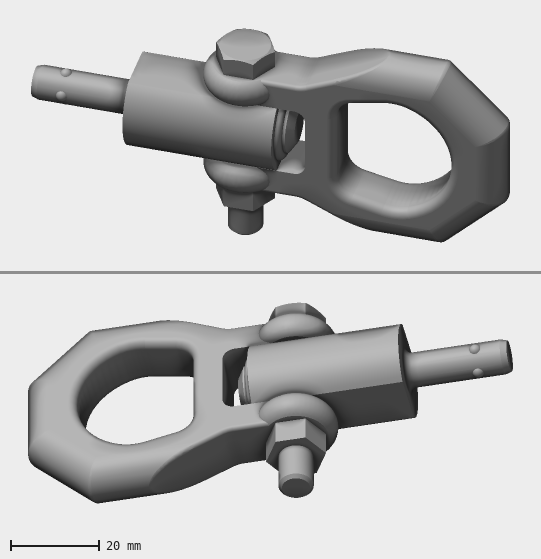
import cadquery as cq
import math


SHANK_R = 4.0
SHANK_TIP_X = -49.4
TIP_CHAMFER = (1.5, 0.5)
HOUSING_START_X = -25.9
HOUSING_END_X = 9.0
HOUSING_R = 21.5 / 2
HALF_GAP = 8.9
COLLAR_FILLET = 1.5
BALL_R = 1.5
BALL_X = -42.2
BALL_CENTER_R = 3.3
BALL_COUNT = 4
BUTTON_R = 8.5
BUTTON_ROUND = 1.3
NECK_R = 6.5
NECK_LENGTH = 0.7
BUTTON_TIP_R = 4.0
BUTTON_CONE_LENGTH = 1.6

OVERALL_HEIGHT = 55.7
BOLT_R = SHANK_R
BOLT_CHAMFER = 0.8
HEX_FLATS = 12.0
HEAD_HEIGHT = 4.9
HEAD_TOP_R = 5.8
HEAD_CHAMFER_ANGLE = 30
NUT_HEIGHT = 5.9
EYE_HEIGHT = 6.9
EYE_FACE_R = 7.5
EYE_BULGE_R = 9.6

THICKNESS = 12.3
HALF_THICKNESS = THICKNESS / 2
RING_HALF_HEIGHT = 49.1 / 2
RING_END_X = 61.9
RING_SIDE_ANGLES = (-90, -45, 0, 45, 90)
CORNER_ROUND = 1.1
SHOULDER_X = 14.6
SHOULDER_ANGLE = math.radians(24.5)
SHOULDER_BEND_R = 5.8
ARM_EDGE_FILLET = 1.0
FORK_SLOT_END_X = 15.7
FORK_SLOT_CORNER_R = 2.7

BOLT_END_Z = RING_HALF_HEIGHT - OVERALL_HEIGHT

OPENING_WALL_X = 22.8
OPENING_CENTER_X = 34.5
OPENING_R = 15.1
BLEND_R = 10.5
BLEND_ANGLE = math.radians(71)
FLANK_ANGLE = math.radians(11.6)
OPENING_CORNER_R = 4.8
OPENING_EDGE_FILLET = 2.0

SELECTION_MARGIN = 1.1
ARM_TOP_Z = HALF_GAP + EYE_HEIGHT


def along_x(profile):
    """Revolve an (x, r) profile, drawn on XY, about the X axis."""
    return profile.close().revolve(360, (0, 0, 0), (1, 0, 0))


def pin_shank():
    length, depth = TIP_CHAMFER
    collar_r = SHANK_R + COLLAR_FILLET
    diagonal = COLLAR_FILLET * math.sqrt(0.5)
    profile = (
        cq.Workplane("XY")
        .moveTo(SHANK_TIP_X, 0)
        .lineTo(SHANK_TIP_X, SHANK_R - depth)
        .lineTo(SHANK_TIP_X + length, SHANK_R)
        .lineTo(HOUSING_START_X - COLLAR_FILLET, SHANK_R)
        .threePointArc(
            (HOUSING_START_X - COLLAR_FILLET + diagonal, collar_r - diagonal),
            (HOUSING_START_X, collar_r),
        )
        .lineTo(HOUSING_START_X, 0)
    )
    return along_x(profile)


def pin_housing():
    length = HOUSING_END_X - HOUSING_START_X
    start = cq.Workplane("YZ", origin=(HOUSING_START_X, 0, 0))
    barrel = start.circle(HOUSING_R).extrude(length)
    flats = start.rect(2 * HOUSING_R, 2 * HALF_GAP).extrude(length)
    return barrel.intersect(flats)


def pin_button():
    diagonal = BUTTON_ROUND * math.sqrt(0.5)
    round_end_x = HOUSING_END_X + BUTTON_ROUND
    neck_end_x = round_end_x + NECK_LENGTH
    profile = (
        cq.Workplane("XY")
        .moveTo(HOUSING_END_X, 0)
        .lineTo(HOUSING_END_X, BUTTON_R)
        .threePointArc(
            (HOUSING_END_X + diagonal, BUTTON_R - BUTTON_ROUND + diagonal),
            (round_end_x, BUTTON_R - BUTTON_ROUND),
        )
        .lineTo(round_end_x, NECK_R)
        .lineTo(neck_end_x, NECK_R)
        .lineTo(neck_end_x + BUTTON_CONE_LENGTH, BUTTON_TIP_R)
        .lineTo(neck_end_x + BUTTON_CONE_LENGTH, 0)
    )
    return along_x(profile)


def locking_balls():
    balls = cq.Workplane("XY")
    for i in range(BALL_COUNT):
        angle = 2 * math.pi * i / BALL_COUNT
        center = (BALL_X, BALL_CENTER_R * math.cos(angle), BALL_CENTER_R * math.sin(angle))
        balls = balls.union(cq.Workplane("XY", origin=center).sphere(BALL_R))
    return balls


def make_locking_pin():
    bolt_hole = cq.Workplane("XY").circle(BOLT_R).extrude(HOUSING_R, both=True)
    pin = pin_housing().union(pin_shank()).union(pin_button()).union(locking_balls())
    return pin.cut(bolt_hole)


def rounded_half_plate(angle):
    """A plate ending in a full-round edge, facing `angle` degrees from +X about the ring center."""
    center_x = RING_END_X - RING_HALF_HEIGHT
    reach = 2 * RING_END_X
    edge_x = RING_HALF_HEIGHT - HALF_THICKNESS
    return (
        cq.Workplane("XY", origin=(0, 0, -reach))
        .moveTo(-reach, -HALF_THICKNESS)
        .lineTo(edge_x, -HALF_THICKNESS)
        .threePointArc((RING_HALF_HEIGHT, 0), (edge_x, HALF_THICKNESS))
        .lineTo(-reach, HALF_THICKNESS)
        .close()
        .extrude(2 * reach)
        .rotate((0, 0, 0), (0, 1, 0), -angle)
        .translate((center_x, 0, 0))
    )


def shackle_outline():
    """Straight arms that widen through sloped shoulders into the ring."""
    rise_end_x = SHOULDER_X + (RING_END_X - ARM_TOP_Z) / math.tan(SHOULDER_ANGLE)
    upper = [(0, ARM_TOP_Z), (SHOULDER_X, ARM_TOP_Z), (rise_end_x, RING_END_X)]
    lower = [(x, -z) for x, z in reversed(upper)]
    outline = cq.Workplane("XZ").polyline(upper + lower).close().extrude(HALF_THICKNESS, both=True)
    shoulder = cq.selectors.BoxSelector(
        (SHOULDER_X - SELECTION_MARGIN, -HALF_THICKNESS, -ARM_TOP_Z - SELECTION_MARGIN),
        (SHOULDER_X + SELECTION_MARGIN, HALF_THICKNESS, ARM_TOP_Z + SELECTION_MARGIN),
    )
    return outline.edges("|Y").edges(shoulder).fillet(SHOULDER_BEND_R)


def shackle_blank():
    ring = rounded_half_plate(RING_SIDE_ANGLES[0])
    for angle in RING_SIDE_ANGLES[1:]:
        ring = ring.intersect(rounded_half_plate(angle))
    return ring.intersect(shackle_outline())


def fork_slot():
    slot = cq.Workplane("XZ").rect(2 * FORK_SLOT_END_X, 2 * HALF_GAP).extrude(HALF_THICKNESS, both=True)
    return slot.edges("|Y and >X").fillet(FORK_SLOT_CORNER_R)


def polar(center, radius, angle):
    return (center[0] + radius * math.cos(angle), center[1] + radius * math.sin(angle))


def mirrored(point):
    return (point[0], -point[1])


def opening_profile():
    """Large arc, blend arcs, sloped flanks and rounded corners, each tangent to the next."""
    center = (OPENING_CENTER_X, 0)
    blend_center = polar(center, OPENING_R - BLEND_R, BLEND_ANGLE)
    flank_normal = math.pi / 2 + FLANK_ANGLE
    flank_top = polar(blend_center, BLEND_R, flank_normal)
    corner_x = OPENING_WALL_X + OPENING_CORNER_R
    flank_z = flank_top[1] - (flank_top[0] - corner_x) * math.tan(FLANK_ANGLE)
    corner_center = (corner_x, flank_z - OPENING_CORNER_R / math.cos(FLANK_ANGLE))

    arc_end = polar(center, OPENING_R, BLEND_ANGLE)
    blend_middle = polar(blend_center, BLEND_R, (BLEND_ANGLE + flank_normal) / 2)
    flank_end = polar(corner_center, OPENING_CORNER_R, flank_normal)
    corner_middle = polar(corner_center, OPENING_CORNER_R, (flank_normal + math.pi) / 2)
    wall_end = (OPENING_WALL_X, corner_center[1])
    return (
        cq.Workplane("XZ")
        .moveTo(*mirrored(arc_end))
        .threePointArc((OPENING_CENTER_X + OPENING_R, 0), arc_end)
        .threePointArc(blend_middle, flank_top)
        .lineTo(*flank_end)
        .threePointArc(corner_middle, wall_end)
        .lineTo(*mirrored(wall_end))
        .threePointArc(mirrored(corner_middle), mirrored(flank_end))
        .lineTo(*mirrored(flank_top))
        .threePointArc(mirrored(blend_middle), mirrored(arc_end))
        .close()
    )


def face_edges(min_x, max_x, half_height):
    """Select the edges on both flat faces whose centers lie in the given range."""
    front, back = (
        cq.selectors.BoxSelector(
            (min_x, y - SELECTION_MARGIN, -half_height),
            (max_x, y + SELECTION_MARGIN, half_height),
        )
        for y in (-HALF_THICKNESS, HALF_THICKNESS)
    )
    return front + back


def round_opening_edges(body):
    min_x = OPENING_WALL_X - SELECTION_MARGIN
    max_x = OPENING_CENTER_X + OPENING_R + SELECTION_MARGIN
    rim = face_edges(min_x, max_x, OPENING_R + SELECTION_MARGIN)
    return body.edges(rim).fillet(OPENING_EDGE_FILLET)


def eye():
    """Bulged disc standing on the upper flat of the pin housing."""
    return (
        cq.Workplane("XZ")
        .moveTo(0, HALF_GAP)
        .lineTo(EYE_FACE_R, HALF_GAP)
        .threePointArc((EYE_BULGE_R, HALF_GAP + EYE_HEIGHT / 2), (EYE_FACE_R, ARM_TOP_Z))
        .lineTo(0, ARM_TOP_Z)
        .close()
        .revolve(360, (0, 0, 0), (0, 1, 0))
    )


def hexagon(bottom_z, height):
    corner_diameter = HEX_FLATS / math.cos(math.pi / 6)
    return cq.Workplane("XY", origin=(0, 0, bottom_z)).polygon(6, corner_diameter).extrude(height)


def bolt_head():
    top_z = ARM_TOP_Z + HEAD_HEIGHT
    cone_drop = (HEX_FLATS - HEAD_TOP_R) * math.tan(math.radians(HEAD_CHAMFER_ANGLE))
    chamfer_cone = (
        cq.Workplane("XZ")
        .moveTo(0, 0)
        .lineTo(HEX_FLATS, 0)
        .lineTo(HEX_FLATS, top_z - cone_drop)
        .lineTo(HEAD_TOP_R, top_z)
        .lineTo(0, top_z)
        .close()
        .revolve(360, (0, 0, 0), (0, 1, 0))
    )
    return hexagon(ARM_TOP_Z, HEAD_HEIGHT).intersect(chamfer_cone)


def bolt_shaft():
    shaft = cq.Workplane("XY", origin=(0, 0, BOLT_END_Z)).circle(BOLT_R).extrude(ARM_TOP_Z - BOLT_END_Z)
    return shaft.faces("<Z").chamfer(BOLT_CHAMFER)


def round_ring_corners(blank):
    center_x = RING_END_X - RING_HALF_HEIGHT
    corners = cq.selectors.BoxSelector(
        (center_x, -HALF_THICKNESS, -RING_HALF_HEIGHT),
        (RING_END_X, HALF_THICKNESS, RING_HALF_HEIGHT),
    )
    return blank.edges("%ELLIPSE").edges(corners).fillet(CORNER_ROUND)


def round_arm_edges(blank):
    """Round the long edges of both arms; the fillet runs on around the sloped shoulders."""
    long_edges = face_edges(SELECTION_MARGIN, OPENING_WALL_X, RING_HALF_HEIGHT)
    return blank.edges(long_edges).fillet(ARM_EDGE_FILLET)


def make_shackle():
    body = round_arm_edges(round_ring_corners(shackle_blank()))
    body = body.cut(opening_profile().extrude(HALF_THICKNESS, both=True))
    body = round_opening_edges(body)
    upper_eye = eye()
    lower_eye = upper_eye.mirror("XY")
    nut = hexagon(-ARM_TOP_Z - NUT_HEIGHT, NUT_HEIGHT)
    return (
        body.cut(fork_slot())
        .union(upper_eye)
        .union(lower_eye)
        .union(bolt_head())
        .union(nut)
        .union(bolt_shaft())
    )


locking_pin = make_locking_pin()
shackle = make_shackle()

result = cq.Compound.makeCompound([*locking_pin.solids().vals(), *shackle.solids().vals()])